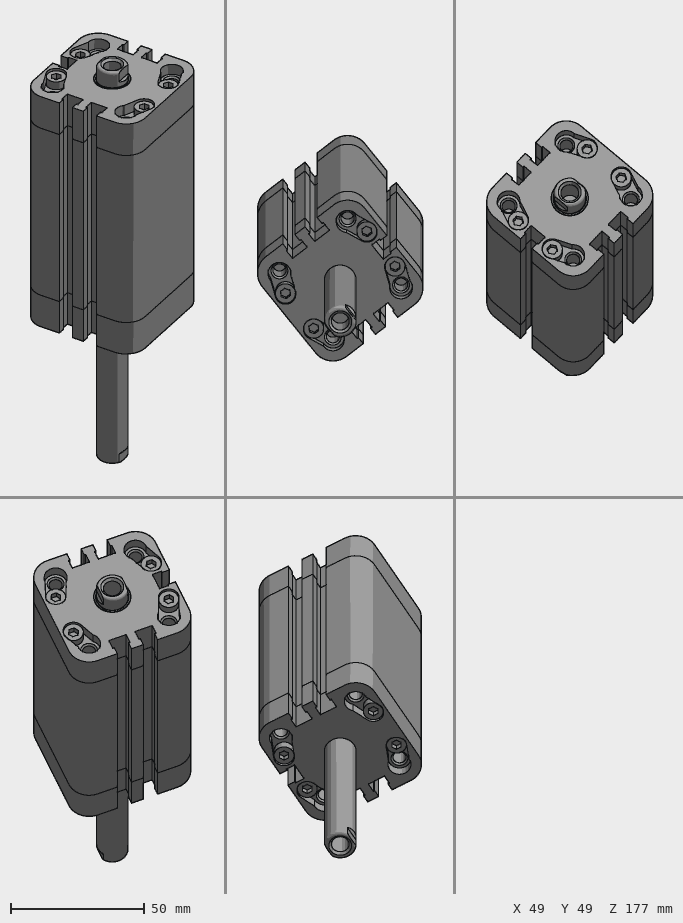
import cadquery as cq
import math

body_width = 49.0
body_length = 104.0
cap_height = 14.25
hole_spacing = 32.5

groove_mouth_width = 5.8
groove_chamber_width = 7.0
groove_lip_depth = 3.0
groove_depth = 6.7
groove_pair_offset = 5.3

pocket_depth = 4.5
pocket_well_diameter = 8.57
pocket_slot_width = 7.8
thread_hole_diameter = 4.92
thread_hole_mouth_diameter = 6.3
screw_x = 19.4
screw_y = 8.6
screw_head_diameter = 7.5
screw_head_height = 3.5
hex_socket_size = 3.5
hex_socket_depth = 2.5

rod_diameter = 12.0
rod_top_extension = 6.5
rod_bottom_extension = 66.5
rod_tip_radius = 1.2
rod_flat_width = 10.0
rod_flat_length = 5.0
flat_run_out = 0.7
rod_hole_diameter = 6.65
rod_hole_mouth_diameter = 8.57
rod_hole_depth = 12.0

wiper_diameter = 14.0
wiper_height = 2.0
wiper_bore_chamfer = 0.27
wiper_rim_chamfer = 0.15

barrel_length = body_length - 2 * cap_height
half_width = body_width / 2
mounting_hole = hole_spacing / 2
corner_radius = half_width - mounting_hole


def groove_cutter(length):
    """Stepped groove in the -X face, centred on Y = 0."""
    mouth = (
        cq.Workplane("XY")
        .rect(2 * groove_lip_depth, groove_mouth_width)
        .extrude(length)
    )
    chamber = (
        cq.Workplane("XY")
        .center((groove_lip_depth + groove_depth) / 2, 0)
        .rect(groove_depth - groove_lip_depth, groove_chamber_width)
        .extrude(length)
    )
    return mouth.union(chamber).translate((-half_width, 0, 0))


def profile_block(length):
    """Rounded square block with one groove in -X, and a pair in each Y face, bored for the rod."""
    block = cq.Workplane("XY").rect(body_width, body_width).extrude(length)
    block = block.edges("|Z").fillet(corner_radius)
    groove = groove_cutter(length)
    block = block.cut(groove)
    for face_angle in (90, -90):
        side_groove = groove.rotate((0, 0, 0), (0, 0, 1), face_angle)
        for offset in (-groove_pair_offset, groove_pair_offset):
            block = block.cut(side_groove.translate((offset, 0, 0)))
    rod_bore = cq.Workplane("XY").circle(rod_diameter / 2).extrude(length)
    return block.cut(rod_bore)


def corner_pocket():
    """Pocket in the +X +Y corner: a round well at the mounting hole and a slot to the screw head."""
    slot_run = math.hypot(screw_x - mounting_hole, screw_y - mounting_hole)
    slot_angle = math.degrees(math.atan2(screw_y - mounting_hole, screw_x - mounting_hole))
    well = cq.Workplane("XY").circle(pocket_well_diameter / 2).extrude(pocket_depth)
    slot = (
        cq.Workplane("XY")
        .center(slot_run / 2, 0)
        .slot2D(slot_run + pocket_slot_width, pocket_slot_width)
        .extrude(pocket_depth)
        .rotate((0, 0, 0), (0, 0, 1), slot_angle)
    )
    return well.union(slot).translate((mounting_hole, mounting_hole, cap_height - pocket_depth))


def mounting_hole_cutter():
    """Threaded hole through the cap with a countersunk mouth at the pocket floor."""
    floor = cap_height - pocket_depth
    mouth_radius = thread_hole_mouth_diameter / 2
    radius = thread_hole_diameter / 2
    return (
        cq.Workplane("XZ")
        .polyline([
            (0, 0),
            (radius, 0),
            (radius, floor - (mouth_radius - radius)),
            (mouth_radius, floor),
            (0, floor),
        ])
        .close()
        .revolve(360, (0, 0), (0, 1))
        .translate((mounting_hole, mounting_hole, 0))
    )


def screw_head():
    """Socket head of a tie screw, standing on the pocket floor."""
    head = cq.Workplane("XY").circle(screw_head_diameter / 2).extrude(screw_head_height)
    socket_corners = hex_socket_size / math.cos(math.pi / 6)
    socket = (
        cq.Workplane("XY", origin=(0, 0, screw_head_height - hex_socket_depth))
        .polygon(6, socket_corners)
        .extrude(hex_socket_depth)
    )
    return head.cut(socket).translate((screw_x, screw_y, cap_height - pocket_depth))


def four_corners(shape):
    """The shape and its mirror images in the other three corners."""
    half = [shape, shape.mirror("YZ")]
    return half + [part.mirror("XZ") for part in half]


def make_cap():
    """End cap with its outer face up; the tie screw heads are part of it."""
    cap = profile_block(cap_height)
    cutter = corner_pocket().union(mounting_hole_cutter())
    for corner_cutter in four_corners(cutter):
        cap = cap.cut(corner_cutter)
    for corner_head in four_corners(screw_head()):
        cap = cap.union(corner_head)
    return cap


def make_barrel():
    """Grooved barrel between the two caps."""
    return profile_block(barrel_length).translate((0, 0, cap_height))


def wiper_seat():
    """Disc of the space the wiper ring takes in the top cap."""
    return (
        cq.Workplane("XY", origin=(0, 0, body_length - wiper_height))
        .circle(wiper_diameter / 2)
        .extrude(wiper_height)
    )


def make_wiper():
    """Wiper ring, flush with the top cap, with a chamfer at its bore and its rim."""
    rod_space = cq.Workplane("XY").circle(rod_diameter / 2).extrude(body_length)
    ring = wiper_seat().cut(rod_space)
    ring = ring.faces(">Z").edges(cq.selectors.RadiusNthSelector(0)).chamfer(wiper_bore_chamfer)
    return ring.faces(">Z").edges(cq.selectors.RadiusNthSelector(-1)).chamfer(wiper_rim_chamfer)


def rod_end_cutters(tip):
    """Wrench flats and thread hole for a rod end whose tip faces up at Z = tip."""
    flat_inner = rod_flat_width / 2
    rod_radius = rod_diameter / 2
    flat = (
        cq.Workplane("XZ")
        .polyline([
            (flat_inner, tip),
            (flat_inner, tip - rod_flat_length + flat_run_out),
            (rod_radius, tip - rod_flat_length),
            (rod_radius, tip),
        ])
        .close()
        .extrude(rod_radius, both=True)
    )
    mouth_radius = rod_hole_mouth_diameter / 2
    hole_radius = rod_hole_diameter / 2
    thread_hole = (
        cq.Workplane("XZ")
        .polyline([
            (0, tip),
            (mouth_radius, tip),
            (hole_radius, tip - (mouth_radius - hole_radius)),
            (hole_radius, tip - rod_hole_depth),
            (0, tip - rod_hole_depth),
        ])
        .close()
        .revolve(360, (0, 0), (0, 1))
    )
    return [flat, flat.mirror("YZ"), thread_hole]


def make_rod():
    """Piston rod through the whole body, with both ends alike."""
    rod_length = rod_top_extension + body_length + rod_bottom_extension
    half_length = rod_length / 2
    rod = (
        cq.Workplane("XY", origin=(0, 0, -half_length))
        .circle(rod_diameter / 2)
        .extrude(rod_length)
        .faces("<Z or >Z")
        .fillet(rod_tip_radius)
    )
    for cutter in rod_end_cutters(half_length):
        rod = rod.cut(cutter).cut(cutter.mirror("XY"))
    return rod.translate((0, 0, half_length - rod_bottom_extension))


cap = make_cap()
bottom_cap = cap.mirror("XY").translate((0, 0, cap_height))
top_cap = cap.translate((0, 0, body_length - cap_height)).cut(wiper_seat())
barrel = make_barrel()
rod = make_rod()
wiper = make_wiper()

result = cq.Compound.makeCompound([
    bottom_cap.val(),
    barrel.val(),
    top_cap.val(),
    rod.val(),
    wiper.val(),
])